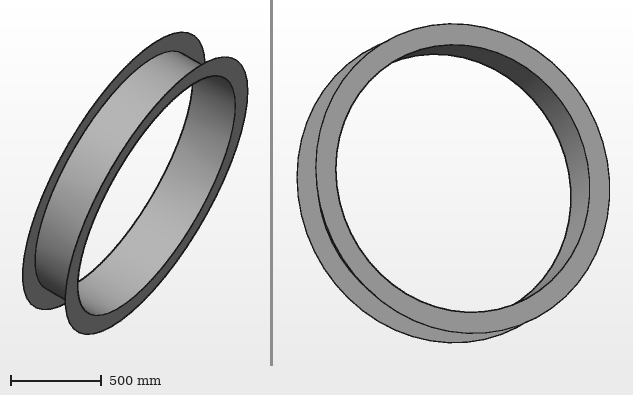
import cadquery as cq

flange_diameter = 1735.0
width = 291.0

drum_diameter = 1500.0
drum_thickness = 2.0
flange_thickness = 3.0
bore_diameter = drum_diameter - 2 * drum_thickness


def ring(outer_diameter, length, x_start):
    """Ring around the X axis, open through the bore, starting at x_start."""
    return (
        cq.Workplane("YZ", origin=(x_start, 0, 0))
        .circle(outer_diameter / 2)
        .circle(bore_diameter / 2)
        .extrude(length)
    )


drum = ring(drum_diameter, width, -width / 2)
left_flange = ring(flange_diameter, flange_thickness, -width / 2)
right_flange = ring(flange_diameter, flange_thickness, width / 2 - flange_thickness)

result = drum.union(left_flange).union(right_flange)